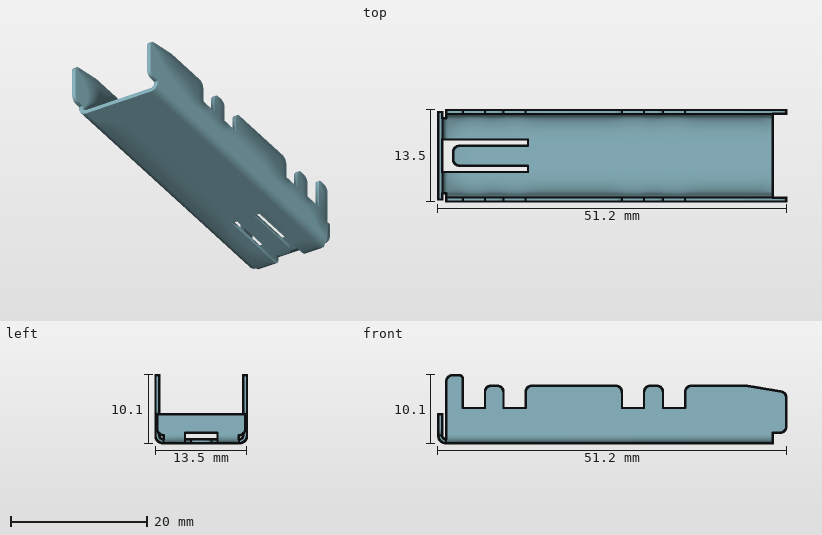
import cadquery as cq
import math

LENGTH = 51.2
WIDTH = 13.5
HEIGHT = 10.05
SHEET = 0.6
BEND_INNER = 0.55
BEND_OUTER = BEND_INNER + SHEET

WALL_START = BEND_OUTER
FLOOR_END = 49.2
WALL_TOP = 8.5
NOTCH_FLOOR = 5.2
NOTCH_WIDTH = 3.2
NOTCH_STARTS = (3.65, 9.6, 27.05, 33.1)
CORNER_RADIUS = 0.95
SMALL_CORNER_RADIUS = 0.5
TAPER_START = 45.3
TAPER_ANGLE = 9.5
NOSE_BOTTOM = 1.55

FLANGE_WIDTH = 12.9
FLANGE_HEIGHT = 4.3
NECK_WIDTH = 11.05

SLOT_WIDTH = 4.75
SLOT_END = 13.2
SLOT_TOP = 1.55
TONGUE_WIDTH = 2.95
TONGUE_START = 2.2


def box(x_range, y_range, z_range):
    """Solid block spanning the given coordinate ranges."""
    size = [high - low for low, high in (x_range, y_range, z_range)]
    return cq.Workplane("XY").box(*size, centered=False).translate((x_range[0], y_range[0], z_range[0]))


def centred(width):
    """Y range of the given width about the middle plane."""
    return (-width / 2, width / 2)


def make_channel():
    """U-shaped section with rounded bends, running along X."""
    outer = box((WALL_START, LENGTH), centred(WIDTH), (0, HEIGHT))
    outer = outer.edges("|X and <Z").fillet(BEND_OUTER)
    inner = box((WALL_START, LENGTH), centred(WIDTH - 2 * SHEET), (SHEET, HEIGHT))
    inner = inner.edges("|X and <Z").fillet(BEND_INNER)
    return outer.cut(inner)


def make_wall_profile():
    """Side outline of the walls and floor, extruded across the full width."""
    nose_top = WALL_TOP - (LENGTH - TAPER_START) * math.tan(math.radians(TAPER_ANGLE))
    points = [(FLOOR_END, 0), (WALL_START, 0), (WALL_START, HEIGHT)]
    top = HEIGHT
    for start in NOTCH_STARTS:
        end = start + NOTCH_WIDTH
        points += [(start, top), (start, NOTCH_FLOOR), (end, NOTCH_FLOOR), (end, WALL_TOP)]
        top = WALL_TOP
    points += [(TAPER_START, WALL_TOP), (LENGTH, nose_top), (LENGTH, NOSE_BOTTOM), (FLOOR_END, NOSE_BOTTOM)]
    profile = cq.Workplane("XZ").polyline(points).close().extrude(WIDTH / 2, both=True)

    rounded = [(WALL_START, HEIGHT), (LENGTH, nose_top), (LENGTH, NOSE_BOTTOM)]
    rounded += [(start, WALL_TOP) for start in NOTCH_STARTS[1:]]
    rounded += [(start + NOTCH_WIDTH, WALL_TOP) for start in NOTCH_STARTS]
    for x, z in rounded:
        profile = profile.edges(cq.NearestToPointSelector((x, 0, z))).fillet(CORNER_RADIUS)
    first_finger_back = cq.NearestToPointSelector((NOTCH_STARTS[0], 0, HEIGHT))
    return profile.edges(first_finger_back).fillet(SMALL_CORNER_RADIUS)


def make_flange():
    """Upright front flange joined to the floor by a narrower bend."""
    plate = box((0, SHEET), centred(FLANGE_WIDTH), (BEND_OUTER, FLANGE_HEIGHT))
    plate = plate.edges("|X and <Z").fillet((FLANGE_WIDTH - NECK_WIDTH) / 2)
    outer = cq.Workplane("XZ").center(BEND_OUTER, BEND_OUTER).circle(BEND_OUTER)
    ring = outer.circle(BEND_INNER).extrude(NECK_WIDTH / 2, both=True)
    bend = ring.intersect(box((0, BEND_OUTER), centred(NECK_WIDTH), (0, BEND_OUTER)))
    return plate.union(bend)


def make_slot():
    """Slot open through the bend, leaving a round-cornered tongue in the floor."""
    slot = box((0, SLOT_END), centred(SLOT_WIDTH), (0, SLOT_TOP))
    tongue = box((TONGUE_START, SLOT_END), centred(TONGUE_WIDTH), (0, SLOT_TOP))
    return slot.cut(tongue.edges("|Z and <X").fillet(CORNER_RADIUS))


channel = make_channel().intersect(make_wall_profile())
result = channel.union(make_flange()).cut(make_slot())